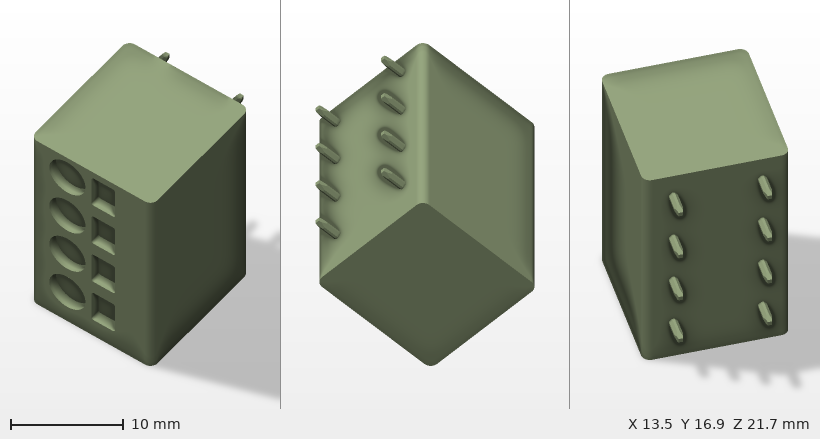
import cadquery as cq

width = 13.5
depth = 14.4
height = 21.72
corner_radius = 0.8
front_y = -depth / 2
back_y = depth / 2

pole_count = 4
pole_pitch = 5.08
top_pole_z = 8.28
pole_heights = [top_pole_z - i * pole_pitch for i in range(pole_count)]

entry_diameter = 4.0
entry_x = -2.65
entry_depth = 1.0

pocket_left_x = 0.05
pocket_right_x = 2.63
pocket_height = 3.6
pocket_depth = 1.05
pocket_corner_radius = 0.24
pocket_wall_depth = 0.85
pocket_wall_lean = 0.15
pocket_ramp_width = 0.3

pin_length = 2.5
pin_size = 0.8
pin_chamfer = 0.28
pin_tip_size = 0.41
pin_taper_length = 0.8
pin_spacing = 8.2
pin_middle_x = -0.09
pin_rise = 0.2
pin_positions = [pin_middle_x - pin_spacing / 2, pin_middle_x + pin_spacing / 2]


def make_housing():
    """Plain block with its four upright edges rounded."""
    block = cq.Workplane("XY").box(width, depth, height)
    return block.edges("|Z").fillet(corner_radius)


def make_wire_entry(z):
    """Round blind recess, as a cutting solid."""
    plane = cq.Workplane("XZ", origin=(entry_x, front_y, z))
    return plane.circle(entry_diameter / 2).extrude(-entry_depth)


def make_release_pocket(z):
    """Pocket with a leaning right wall and a ramp down to the flat floor, as a cutting solid."""
    wall_foot_x = pocket_right_x - pocket_wall_lean
    outline = [
        (pocket_left_x, front_y),
        (pocket_right_x, front_y),
        (wall_foot_x, front_y + pocket_wall_depth),
        (wall_foot_x - pocket_ramp_width, front_y + pocket_depth),
        (pocket_left_x, front_y + pocket_depth),
    ]
    plane = cq.Workplane("XY", origin=(0, 0, z - pocket_height / 2))
    pocket = plane.polyline(outline).close().extrude(pocket_height)
    left_corners = pocket.faces("<X").edges("|Y")
    pocket = left_corners.fillet(pocket_corner_radius)
    right_wall_middle = (
        pocket_right_x - pocket_wall_lean / 2,
        front_y + pocket_wall_depth / 2,
        z,
    )
    right_wall = pocket.faces(cq.NearestToPointSelector(right_wall_middle))
    return right_wall.edges("not |Z").fillet(pocket_corner_radius)


def make_pin(x, z):
    """Square pin with chamfered edges and a four-sided tapered tip."""
    shaft_length = pin_length - pin_taper_length
    plane = cq.Workplane("XZ", origin=(x, back_y, z))
    shaft = plane.rect(pin_size, pin_size).extrude(-pin_length).edges("|Y").chamfer(pin_chamfer)
    tapered = plane.rect(pin_size, pin_size).extrude(-shaft_length)
    tip = (
        plane.workplane(offset=-shaft_length)
        .rect(pin_size, pin_size)
        .workplane(offset=-pin_taper_length)
        .rect(pin_tip_size, pin_tip_size)
        .loft()
    )
    return shaft.intersect(tapered.union(tip))


result = make_housing()
for pole_z in pole_heights:
    result = result.cut(make_wire_entry(pole_z))
    result = result.cut(make_release_pocket(pole_z))
    for pin_x in pin_positions:
        result = result.union(make_pin(pin_x, pole_z + pin_rise))